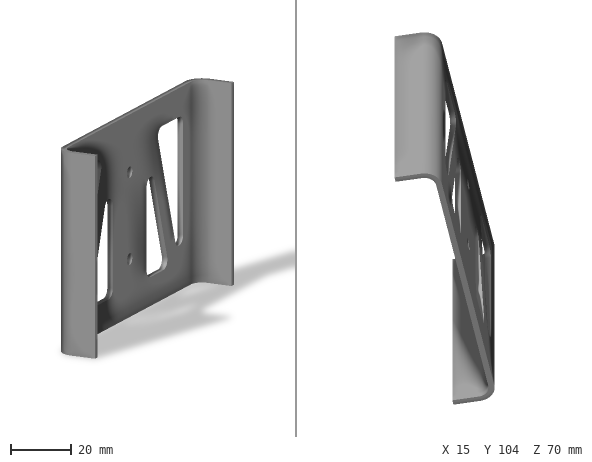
import cadquery as cq

depth = 15.0
width = 104.0
height = 70.0
thickness = 2.0
outer_bend_radius = 6.0
inner_bend_radius = outer_bend_radius - thickness

hole_diameter = 4.0
hole_spacing = 30.0

window_outer_y = 40.0
window_inner_y = 12.7
window_half_height = 25.0
window_corner_radius = 3.0
rib_slope = 1.0 / 3.0
outer_slant_mid_y = 28.35
inner_slant_mid_y = 21.05


def bent_sheet():
    """Flat web in the YZ plane with a flange bent towards +X at each side."""
    channel = (
        cq.Workplane("XY")
        .box(depth, width, height, centered=(False, True, True))
        .edges("|Z and <X")
        .fillet(outer_bend_radius)
    )
    inside = (
        cq.Workplane("XY")
        .box(depth, width - 2 * thickness, height, centered=(False, True, True))
        .edges("|Z and <X")
        .fillet(inner_bend_radius)
        .translate((thickness, 0, 0))
    )
    return channel.cut(inside)


def tapered_window(straight_y, slant_mid_y, base_z):
    """Right-triangle cutter with rounded corners: base at base_z, upright edge at straight_y."""
    base_slant_y = slant_mid_y - rib_slope * base_z
    run_to_tip = straight_y - base_slant_y
    tip_z = base_z - run_to_tip / rib_slope
    return (
        cq.Workplane("YZ")
        .polyline([(straight_y, base_z), (base_slant_y, base_z), (straight_y, tip_z)])
        .close()
        .extrude(thickness)
        .edges("|X")
        .fillet(window_corner_radius)
    )


def window_pair():
    """Both windows on the +Y half of the web."""
    outer_window = tapered_window(window_outer_y, outer_slant_mid_y, window_half_height)
    inner_window = tapered_window(window_inner_y, inner_slant_mid_y, -window_half_height)
    return outer_window.union(inner_window)


def mounting_holes():
    """Round cutters through the web, one above the other."""
    return (
        cq.Workplane("YZ")
        .rarray(1, hole_spacing, 1, 2)
        .circle(hole_diameter / 2)
        .extrude(thickness)
    )


windows = window_pair()
result = (
    bent_sheet()
    .cut(windows)
    .cut(windows.mirror("XZ"))
    .cut(mounting_holes())
)